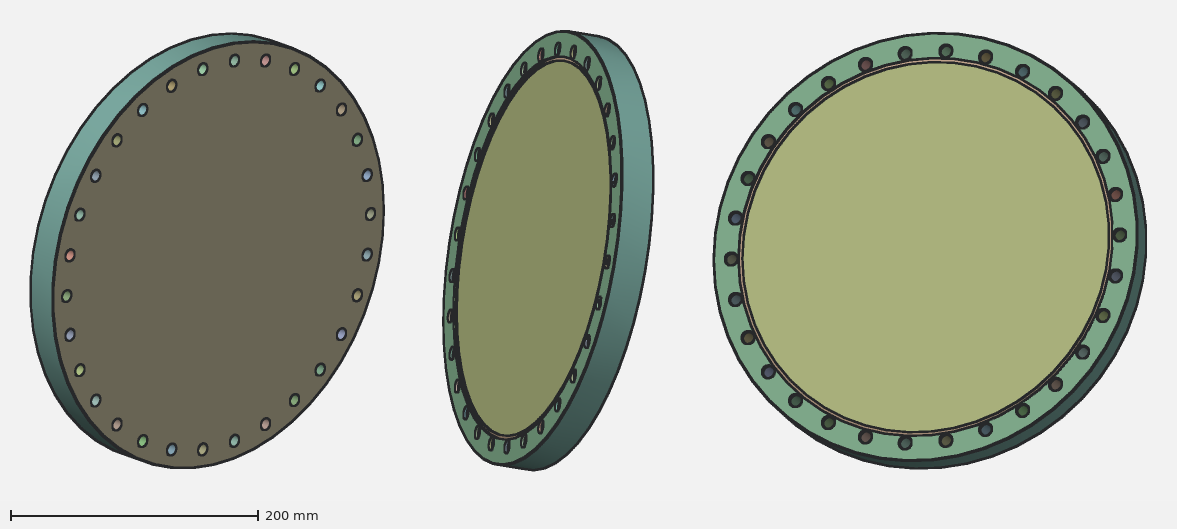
import math

import cadquery as cq

FLANGE_DIAMETER = 355.5
FLANGE_THICKNESS = 28.5
EDGE_CHAMFER = 0.75

BOLT_COUNT = 30
BOLT_CIRCLE_DIAMETER = 325.5
BOLT_HOLE_DIAMETER = 10.0
COUNTERBORE_DIAMETER = 10.5
COUNTERBORE_DEPTH = 3.0

RECESS_DIAMETER = 313.5
KNIFE_DIAMETER = 307.2
KNIFE_ANGLE = 20.0
KNIFE_TIP_DEPTH = 0.7
CENTER_DEPTH = 1.8


def flange_disc():
    """Plain disc with both rims chamfered."""
    disc = cq.Workplane("YZ").circle(FLANGE_DIAMETER / 2).extrude(FLANGE_THICKNESS)
    return disc.edges().chamfer(EDGE_CHAMFER)


def sealing_recess():
    """Revolved cutter that leaves the knife edge standing around the recessed centre."""
    recess_radius = RECESS_DIAMETER / 2
    knife_radius = KNIFE_DIAMETER / 2
    knife_drop = (recess_radius - knife_radius) * math.tan(math.radians(KNIFE_ANGLE))
    recess_depth = KNIFE_TIP_DEPTH + knife_drop
    return (
        cq.Workplane("XY")
        .moveTo(0, 0)
        .lineTo(0, recess_radius)
        .lineTo(recess_depth, recess_radius)
        .lineTo(KNIFE_TIP_DEPTH, knife_radius)
        .lineTo(CENTER_DEPTH, knife_radius)
        .lineTo(CENTER_DEPTH, 0)
        .close()
        .revolve(360, (0, 0, 0), (1, 0, 0))
    )


def ring_of_cylinders(diameter, depth):
    """Bolt-circle cutters going in from the sealing face, one of them on the Y axis."""
    return (
        cq.Workplane("YZ")
        .polarArray(BOLT_CIRCLE_DIAMETER / 2, 0, 360, BOLT_COUNT)
        .circle(diameter / 2)
        .extrude(depth)
    )


bolt_holes = ring_of_cylinders(BOLT_HOLE_DIAMETER, FLANGE_THICKNESS)
counterbores = ring_of_cylinders(COUNTERBORE_DIAMETER, COUNTERBORE_DEPTH)

result = flange_disc().cut(sealing_recess()).cut(bolt_holes).cut(counterbores)